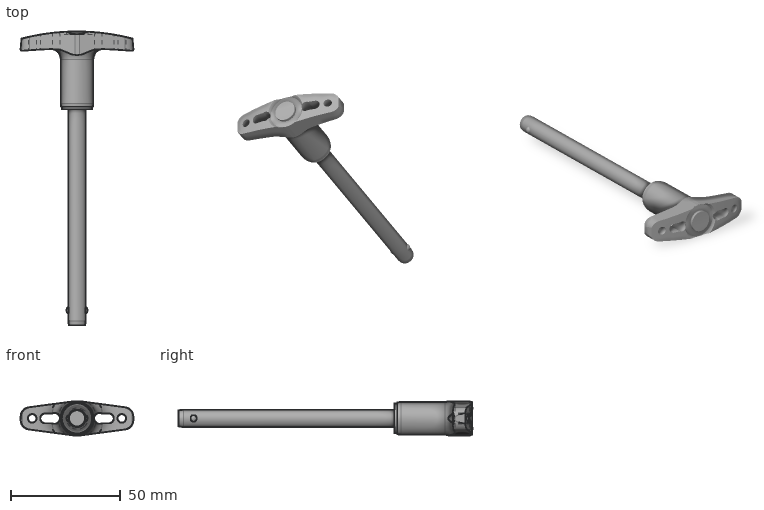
import cadquery as cq
import math


total_length = 134.0
shank_length = 98.4
handle_top = total_length - shank_length

shank_radius = 4.0
tip_length = 2.2
tip_radius = 3.65
ball_radius = 1.6
ball_from_tip = 6.9
ball_reach = 4.83

sleeve_radius = 7.5
nose_radius = 6.85
nose_height = 1.2
rim_radius = 7.25
rim_height = 2.9
sleeve_height = 22.9
flare_radius = 4.6

handle_length = 51.5
handle_width = 15.79
flank_half_flat = 1.0
flank_end_half_width = 4.6
corner_radius = 4.6
top_arc_radius = 98.0
underside_drop = 7.9
underside_arc_radius = 300.0
end_draft = 0.4
toe_rounding = 0.8
toe_overhang = 0.08

button_radius = 4.85
recess_outer_radius = 9.0
recess_floor_radius = 7.8
recess_depth = 1.4

hole_radius = 1.9
hole_offset = 20.4
slot_half_width = 2.2
slot_outer_center = 14.5
eye_radius = 2.45
eye_offset = 10.25


def arc_drop(radius, distance):
    """Fall of an arc below its apex at a distance from the apex."""
    return radius - math.sqrt(radius**2 - distance**2)


def cylinder_y(radius, start, end, x=0.0):
    """Cylinder along Y between two heights."""
    disc = cq.Workplane("XZ", origin=(x, start, 0)).circle(radius)
    return disc.extrude(start - end)


def make_shank():
    tip_inset = shank_radius - tip_radius
    tip_rounding = (tip_length**2 + tip_inset**2) / (2 * tip_inset)
    tip_middle = (shank_radius - arc_drop(tip_rounding, tip_length / 2), -shank_length + tip_length / 2)
    profile = (
        cq.Workplane("XY")
        .moveTo(0, sleeve_height)
        .lineTo(shank_radius, sleeve_height)
        .lineTo(shank_radius, -shank_length + tip_length)
        .threePointArc(tip_middle, (tip_radius, -shank_length))
        .lineTo(0, -shank_length)
        .close()
    )
    return profile.revolve(360, (0, 0), (0, 1))


def make_balls():
    center_x = ball_reach - ball_radius
    centers = [(side * center_x, -shank_length + ball_from_tip, 0) for side in (-1, 1)]
    return cq.Workplane("XY").pushPoints(centers).sphere(ball_radius)


def make_sleeve():
    """Stepped nose and rounded rim, up to the start of the flare."""
    rim_middle = (
        sleeve_radius - (sleeve_radius - rim_radius) / 4,
        (nose_height + rim_height) / 2,
    )
    profile = (
        cq.Workplane("XY")
        .lineTo(nose_radius, 0)
        .lineTo(nose_radius, nose_height)
        .lineTo(rim_radius, nose_height)
        .threePointArc(rim_middle, (sleeve_radius, rim_height))
        .lineTo(sleeve_radius, sleeve_height)
        .lineTo(0, sleeve_height)
        .close()
    )
    return profile.revolve(360, (0, 0), (0, 1))


def make_flare():
    """Concave flare that blends the sleeve into the handle underside."""
    outer_radius = sleeve_radius + flare_radius
    flare_top = sleeve_height + flare_radius
    inset = flare_radius * (1 - math.sqrt(0.5))
    core_top = handle_top - recess_depth
    profile = (
        cq.Workplane("XY")
        .moveTo(0, sleeve_height)
        .lineTo(sleeve_radius, sleeve_height)
        .threePointArc((sleeve_radius + inset, flare_top - inset), (outer_radius, flare_top))
        .lineTo(sleeve_radius, core_top)
        .lineTo(0, core_top)
        .close()
    )
    return profile.revolve(360, (0, 0), (0, 1))


def make_handle_plan():
    """Tapered outline of the handle as seen along the pin axis."""
    half_length = handle_length / 2
    half_width = handle_width / 2
    outline = [
        (flank_half_flat, half_width),
        (half_length, flank_end_half_width),
        (half_length, -flank_end_half_width),
        (flank_half_flat, -half_width),
        (-flank_half_flat, -half_width),
        (-half_length, -flank_end_half_width),
        (-half_length, flank_end_half_width),
        (-flank_half_flat, half_width),
    ]
    plan = cq.Workplane("XZ", origin=(0, sleeve_height, 0)).polyline(outline).close()
    block = plan.extrude(sleeve_height - handle_top)
    return block.edges("|Y and (>X or <X)").fillet(corner_radius)


def make_handle_side():
    """Bowed side shape of the handle: arched top, hollow underside, drafted ends, rounded toes."""
    bottom_x = handle_length / 2 + toe_overhang
    top_x = handle_length / 2 - end_draft
    top_end = handle_top - arc_drop(top_arc_radius, top_x)
    underside = handle_top - underside_drop
    bottom_end = underside - arc_drop(underside_arc_radius, bottom_x)
    profile = (
        cq.Workplane("XY")
        .moveTo(-bottom_x, bottom_end)
        .threePointArc((0, underside), (bottom_x, bottom_end))
        .lineTo(top_x, top_end)
        .threePointArc((0, handle_top), (-top_x, top_end))
        .close()
    )
    bowed_block = profile.extrude(handle_width / 2, both=True)
    toe_edges = cq.selectors.BoxSelector(
        (-handle_length, bottom_end - end_draft, -handle_width),
        (handle_length, bottom_end + end_draft, handle_width),
    )
    return bowed_block.edges("|Z").edges(toe_edges).fillet(toe_rounding)


def make_recess():
    floor = handle_top - recess_depth
    profile = (
        cq.Workplane("XY")
        .moveTo(button_radius, floor)
        .lineTo(recess_floor_radius, floor)
        .lineTo(recess_outer_radius, handle_top)
        .lineTo(button_radius, handle_top)
        .close()
    )
    return profile.revolve(360, (0, 0), (0, 1))


def make_arm_openings(side):
    """Lanyard hole and keyhole-shaped slot through one arm."""
    hole = cylinder_y(hole_radius, sleeve_height, handle_top, side * hole_offset)
    slot_end = cylinder_y(slot_half_width, sleeve_height, handle_top, side * slot_outer_center)
    eye = cylinder_y(eye_radius, sleeve_height, handle_top, side * eye_offset)
    slot_length = slot_outer_center - eye_offset
    slot_center = (side * (slot_outer_center + eye_offset) / 2, (sleeve_height + handle_top) / 2, 0)
    slot = cq.Workplane("XY").box(slot_length, handle_top - sleeve_height, 2 * slot_half_width)
    return hole.union(slot_end).union(eye).union(slot.translate(slot_center))


handle = make_handle_side().union(make_flare()).intersect(make_handle_plan())
handle = handle.cut(make_recess())
for side in (-1, 1):
    handle = handle.cut(make_arm_openings(side))

result = handle.union(make_sleeve()).union(make_shank()).union(make_balls())